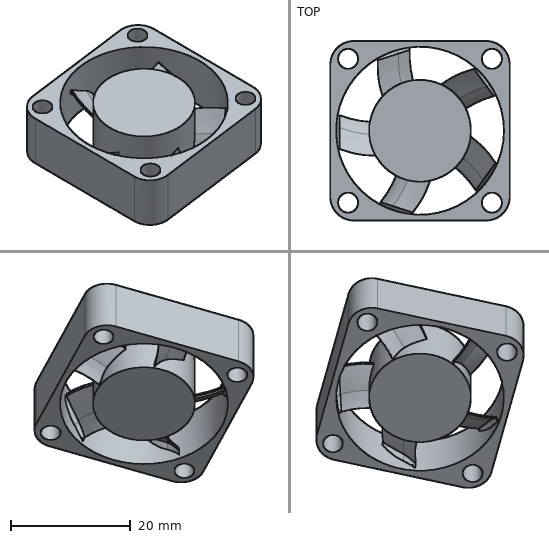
import cadquery as cq

side = 30.0
height = 10.0
corner_radius = 4.0
bore_diameter = 28.0
mount_hole_diameter = 3.3
mount_hole_pitch = 24.0

hub_diameter = 17.0
blade_count = 5
first_blade_angle = 180.0
blade_thickness = 0.55

root_station = (7.2, 1.1, -0.3)
middle_station = (10.5, 0.8, 0.6)
tip_station = (13.35, 0.0, 1.35)

tip_slope_drop = 1.8
tip_slope_reach = 14.4

high_edge = (3.1, 5.73)
high_middle = (1.3, 4.32)
crease = (-0.5, 3.15)
low_middle = (-1.55, 2.15)
low_edge = (-2.58, 0.75)


def make_frame():
    bore_radius = bore_diameter / 2
    frame = cq.Workplane("XY").rect(side, side).extrude(height).edges("|Z").fillet(corner_radius)
    bore = cq.Workplane("XY").circle(bore_radius).extrude(height)
    mount_holes = (
        cq.Workplane("XY")
        .rect(mount_hole_pitch, mount_hole_pitch, forConstruction=True)
        .vertices()
        .circle(mount_hole_diameter / 2)
        .extrude(height)
    )
    return frame.cut(bore).cut(mount_holes)


def blade_section(distance, shift, lift):
    """Thin curved wire at the given distance along +X, in a plane facing +X."""

    def place(point, drop=0.0):
        return cq.Vector(distance, point[0] + shift, point[1] + lift - drop)

    profile = (high_edge, high_middle, crease, low_middle, low_edge)
    upper = [place(p) for p in profile]
    lower = [place(p, blade_thickness) for p in profile]
    return cq.Wire.assembleEdges([
        cq.Edge.makeThreePointArc(*upper[:3]),
        cq.Edge.makeThreePointArc(*upper[2:]),
        cq.Edge.makeLine(upper[-1], lower[-1]),
        cq.Edge.makeThreePointArc(*reversed(lower[2:])),
        cq.Edge.makeThreePointArc(*reversed(lower[:3])),
        cq.Edge.makeLine(lower[0], upper[0]),
    ])


def make_blade():
    vane_stations = (root_station, middle_station, tip_station)
    vane = cq.Solid.makeLoft([blade_section(*s) for s in vane_stations])
    _, tip_shift, tip_lift = tip_station
    tip_slope_end = (tip_slope_reach, tip_shift, tip_lift - tip_slope_drop)
    tip_slope = cq.Solid.makeLoft([blade_section(*tip_station), blade_section(*tip_slope_end)], True)
    trim_radius = (bore_diameter + side) / 4
    trim = cq.Workplane("XY").circle(trim_radius).extrude(height)
    return cq.Workplane(vane).union(cq.Workplane(tip_slope)).intersect(trim)


result = make_frame().union(cq.Workplane("XY").circle(hub_diameter / 2).extrude(height))
blade = make_blade()
for index in range(blade_count):
    angle = first_blade_angle + index * 360.0 / blade_count
    result = result.union(blade.rotate((0, 0, 0), (0, 0, 1), angle))